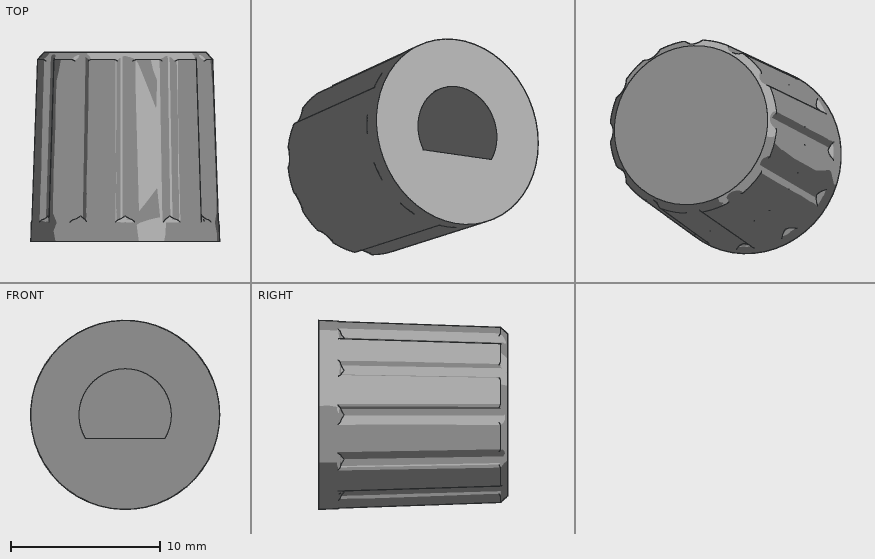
import cadquery as cq
import math

LENGTH = 12.7
WIDE_RADIUS = 6.35
DRAFT_ANGLE = 2
END_CHAMFER = 0.5
WIDE_Y = -LENGTH / 2
NARROW_Y = LENGTH / 2

BORE_RADIUS = 3.1
BORE_DEPTH = 10.0
FLAT_OFFSET = 1.59

FLUTE_COUNT = 12
FLUTE_RADIUS = 0.75
FLUTE_DEPTH = 0.3
FLUTE_FILLET = 0.25
COLLAR_LENGTH = 1.25
COLLAR_Y = WIDE_Y + COLLAR_LENGTH
WALL_Y = COLLAR_Y + FLUTE_FILLET
FOOT_RING_BASE = 0.38
TOLERANCE = 0.001

DRAFT = math.radians(DRAFT_ANGLE)
ALONG_SIDE = cq.Vector(math.cos(DRAFT), -math.sin(DRAFT))
OUT_OF_SIDE = cq.Vector(math.sin(DRAFT), math.cos(DRAFT))


def side_radius(y):
    """Radius of the tapered side at position y."""
    return WIDE_RADIUS - (y - WIDE_Y) * math.tan(DRAFT)


def make_body():
    """Solid of revolution about Y with a chamfered narrow end."""
    chamfer_y = NARROW_Y - END_CHAMFER
    chamfer_radius = side_radius(chamfer_y)
    outline = (
        cq.Workplane("XY")
        .moveTo(0, WIDE_Y)
        .lineTo(WIDE_RADIUS, WIDE_Y)
        .lineTo(chamfer_radius, chamfer_y)
        .lineTo(chamfer_radius - END_CHAMFER, NARROW_Y)
        .lineTo(0, NARROW_Y)
        .close()
    )
    return outline.revolve(360, (0, 0, 0), (0, 1, 0))


def make_flute_cutter():
    """Round bar sunk into the +Z side, cut square where it ends at the collar."""
    bar_length = 2 * LENGTH
    block_size = 4 * WIDE_RADIUS
    axis_start = cq.Vector(0, WIDE_Y, WIDE_RADIUS - FLUTE_DEPTH + FLUTE_RADIUS)
    axis_direction = cq.Vector(0, ALONG_SIDE.x, ALONG_SIDE.y)
    bar = cq.Solid.makeCylinder(FLUTE_RADIUS, bar_length, axis_start, axis_direction)
    beyond_wall = (
        cq.Workplane("XZ", origin=(0, WALL_Y, 0))
        .rect(block_size, block_size)
        .extrude(-bar_length)
    )
    return beyond_wall.intersect(cq.Workplane(obj=bar))


def flute_rims(body):
    """Convex edges of the flutes: side and chamfer edges are splines, end-wall edges arcs."""
    end_wall_rims = body.edges("%CIRCLE").filter(lambda edge: abs(edge.Center().y - WALL_Y) < TOLERANCE)
    return body.edges("%BSPLINE").add(end_wall_rims)


def cut_flutes(body):
    """Cut the ring of flutes and round their rims."""
    cutter = make_flute_cutter()
    for index in range(FLUTE_COUNT):
        angle = index * 360 / FLUTE_COUNT
        body = body.cut(cutter.rotate((0, 0, 0), (0, 1, 0), angle))
    return flute_rims(body).fillet(FLUTE_FILLET)


def make_foot_ring():
    """Ring with a concave shoulder easing the rounded end walls into the flute floors.

    Points are (y, radius). The shoulder arc touches both the rim fillet and the floor.
    """
    rim_center = cq.Vector(COLLAR_Y, side_radius(COLLAR_Y) - FLUTE_FILLET / math.cos(DRAFT))
    rise = 2 * FLUTE_FILLET - FLUTE_DEPTH
    run = math.sqrt((2 * FLUTE_FILLET) ** 2 - rise**2)
    foot_center = rim_center + ALONG_SIDE * run + OUT_OF_SIDE * rise
    to_top = (rim_center - foot_center).normalized()
    top = foot_center + to_top * FLUTE_FILLET
    middle = foot_center + (to_top - OUT_OF_SIDE).normalized() * FLUTE_FILLET
    bottom = foot_center - OUT_OF_SIDE * FLUTE_FILLET
    base_radius = bottom.y - FOOT_RING_BASE
    outline = (
        cq.Workplane("XY")
        .moveTo(top.y, top.x)
        .threePointArc((middle.y, middle.x), (bottom.y, bottom.x))
        .lineTo(base_radius, bottom.x)
        .lineTo(base_radius, top.x)
        .close()
    )
    return outline.revolve(360, (0, 0, 0), (0, 1, 0))


def make_bore():
    """D-shaped prism with its flat facing up, below the axis."""
    half_flat = math.sqrt(BORE_RADIUS**2 - FLAT_OFFSET**2)
    outline = (
        cq.Workplane("XZ", origin=(0, WIDE_Y, 0))
        .moveTo(-half_flat, -FLAT_OFFSET)
        .threePointArc((0, BORE_RADIUS), (half_flat, -FLAT_OFFSET))
        .close()
    )
    return outline.extrude(-BORE_DEPTH)


result = cut_flutes(make_body()).union(make_foot_ring()).cut(make_bore())